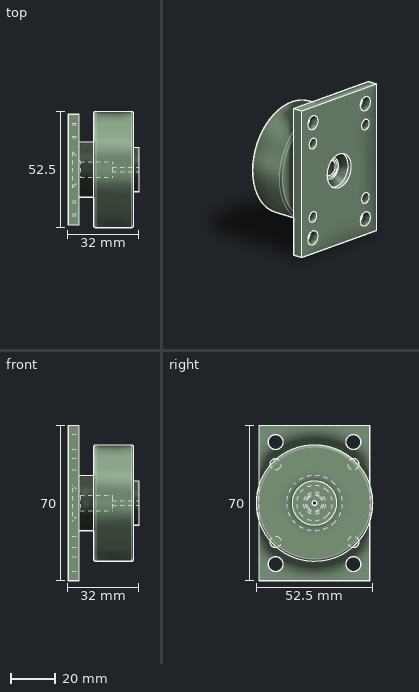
import cadquery as cq

PLATE_THICKNESS = 5.0
PLATE_WIDTH = 50.0
PLATE_HEIGHT = 70.0

MOUNTING_HOLE_DIAMETER = 6.6
MOUNTING_HOLE_SPACING_Y = 35.0
MOUNTING_HOLE_SPACING_Z = 55.0
SMALL_HOLE_DIAMETER = 5.0
SMALL_HOLE_SPACING = 35.0

HUB_DIAMETER = 25.0
ROLLER_DIAMETER = 52.5
ROLLER_WIDTH = 18.0
ROLLER_START = 11.5
ROLLER_EDGE_RADIUS = 1.0
SHAFT_END_DIAMETER = 20.0
TOTAL_LENGTH = 32.0

RECESS_DIAMETER = 16.0
RECESS_DEPTH = PLATE_THICKNESS
RECESS_STRAIGHT_DEPTH = 2.0
RECESS_FLOOR_DIAMETER = 10.0
BORE_DIAMETER = 7.0
BORE_CHAMFER_DIAMETER = 8.2
BORE_END = 20.0
VENT_DIAMETER = 2.0


def cylinder_along_x(diameter, start, end):
    """Cylinder on the X axis between two X positions."""
    return cq.Workplane("YZ", origin=(start, 0, 0)).circle(diameter / 2).extrude(end - start)


def plate_holes(diameter, spacing_y, spacing_z):
    """Four holes through the plate at the corners of a rectangle."""
    return (
        cq.Workplane("YZ")
        .rect(spacing_y, spacing_z, forConstruction=True)
        .vertices()
        .circle(diameter / 2)
        .extrude(PLATE_THICKNESS)
    )


def make_plate():
    plate = cq.Workplane("YZ").rect(PLATE_WIDTH, PLATE_HEIGHT).extrude(PLATE_THICKNESS)
    mounting_holes = plate_holes(MOUNTING_HOLE_DIAMETER, MOUNTING_HOLE_SPACING_Y, MOUNTING_HOLE_SPACING_Z)
    small_holes = plate_holes(SMALL_HOLE_DIAMETER, SMALL_HOLE_SPACING, SMALL_HOLE_SPACING)
    return plate.cut(mounting_holes).cut(small_holes)


def make_roller():
    """Hub, roller with rounded edges and the protruding shaft end."""
    roller_end = ROLLER_START + ROLLER_WIDTH
    hub = cylinder_along_x(HUB_DIAMETER, PLATE_THICKNESS, ROLLER_START)
    roller = cylinder_along_x(ROLLER_DIAMETER, ROLLER_START, roller_end)
    roller = roller.faces("<X or >X").edges().fillet(ROLLER_EDGE_RADIUS)
    shaft_end = cylinder_along_x(SHAFT_END_DIAMETER, roller_end, TOTAL_LENGTH)
    return hub.union(roller).union(shaft_end)


def make_stepped_bore():
    """Revolved cutter: recess with a tapered wall, chamfered blind bore and vent to the far end."""
    chamfer_end = RECESS_DEPTH + (BORE_CHAMFER_DIAMETER - BORE_DIAMETER) / 2
    return (
        cq.Workplane("XY")
        .moveTo(0, 0)
        .lineTo(0, RECESS_DIAMETER / 2)
        .lineTo(RECESS_STRAIGHT_DEPTH, RECESS_DIAMETER / 2)
        .lineTo(RECESS_DEPTH, RECESS_FLOOR_DIAMETER / 2)
        .lineTo(RECESS_DEPTH, BORE_CHAMFER_DIAMETER / 2)
        .lineTo(chamfer_end, BORE_DIAMETER / 2)
        .lineTo(BORE_END, BORE_DIAMETER / 2)
        .lineTo(BORE_END, VENT_DIAMETER / 2)
        .lineTo(TOTAL_LENGTH, VENT_DIAMETER / 2)
        .lineTo(TOTAL_LENGTH, 0)
        .close()
        .revolve(360, (0, 0, 0), (1, 0, 0))
    )


result = make_plate().union(make_roller()).cut(make_stepped_bore())